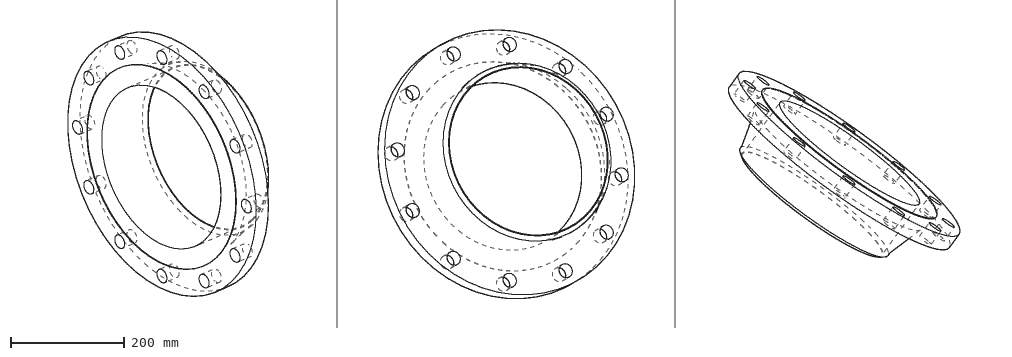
import cadquery as cq
import math

flange_diameter = 482.6
bore_diameter = 304.8
raised_face_diameter = 381.0
hub_base_diameter = 365.1
weld_end_diameter = 323.8

overall_length = 114.3
flange_thickness = 31.75
raised_face_height = 1.6
weld_end_length = 12.3

weld_land = 1.6
weld_bevel_angle = 37.5
hub_blend_radius = 5.0

bolt_count = 12
first_bolt_angle = 90
bolt_hole_diameter = 25.4
bolt_circle_diameter = 431.8

full_turn = 360

flange_front = raised_face_height
flange_back = flange_thickness
taper_end = overall_length - weld_end_length

bore_radius = bore_diameter / 2
raised_face_radius = raised_face_diameter / 2
flange_radius = flange_diameter / 2
hub_base_radius = hub_base_diameter / 2
weld_end_radius = weld_end_diameter / 2
land_radius = bore_radius + weld_land
bevel_depth = (weld_end_radius - land_radius) * math.tan(math.radians(weld_bevel_angle))


def ring_edge(radius, position):
    """Selector for circular edges up to the given radius at a Y position."""
    margin = 0.5
    reach = radius + margin
    return cq.selectors.BoxSelector(
        (-reach, position - margin, -reach),
        (reach, position + margin, reach),
        boundingbox=True,
    )


def flange_body():
    """Revolved flange, raised face, tapered hub and bevelled weld end."""
    return (
        cq.Workplane("XY")
        .moveTo(bore_radius, 0)
        .lineTo(raised_face_radius, 0)
        .lineTo(raised_face_radius, flange_front)
        .lineTo(flange_radius, flange_front)
        .lineTo(flange_radius, flange_back)
        .lineTo(hub_base_radius, flange_back)
        .lineTo(weld_end_radius, taper_end)
        .lineTo(weld_end_radius, overall_length - bevel_depth)
        .lineTo(land_radius, overall_length)
        .lineTo(bore_radius, overall_length)
        .close()
        .revolve(full_turn, (0, 0, 0), (0, 1, 0))
    )


def blend_hub(body):
    """Round both ends of the hub taper."""
    hub_base = ring_edge(hub_base_radius, flange_back)
    hub_end = ring_edge(weld_end_radius, taper_end)
    return body.edges(hub_base).fillet(hub_blend_radius).edges(hub_end).fillet(hub_blend_radius)


def bolt_holes():
    """Through holes on the bolt circle, one of them straight up at +Z."""
    return (
        cq.Workplane("XZ")
        .polarArray(bolt_circle_diameter / 2, first_bolt_angle, full_turn, bolt_count)
        .circle(bolt_hole_diameter / 2)
        .extrude(-flange_thickness)
    )


result = blend_hub(flange_body()).cut(bolt_holes())